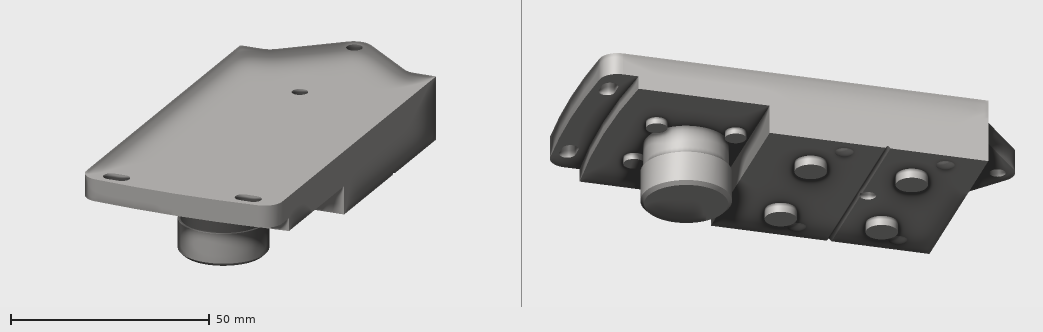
import cadquery as cq
import math


WIDTH = 54.0
LENGTH = 116.4
PLATE_THICKNESS = 5.9
CORNER_RADIUS = 4.9
FRONT_BOW_RADIUS = 244.4

TONGUE_LENGTH = 14.5
TIP_RADIUS = 5.0
TONGUE_SLOPE = math.radians(40)
SHOULDER_FILLET = 5.0

HOLE_DIAMETER = 4.2
TONGUE_HOLE_Y = 10.1
INNER_HOLE_Y = -23.9
SLOT_LENGTH = 7.1
SLOT_SPACING = 36.3
SLOT_FROM_FRONT = 4.7

SLAB_DEPTH = 9.4
SLAB_SETBACK = 8.5
BLOCK_DEPTH = 17.1
BLOCK_LENGTH = 57.4
COVER_LENGTH = 52.7
GROOVE_WIDTH = 1.4
GROOVE_DEPTH = 0.7

CONNECTOR_Y = -71.6
NECK_DIAMETER = 21.8
COLLAR_DIAMETER = 23.2
CONNECTOR_DEPTH = 26.1
COLLAR_CHAMFER = 0.9

SCREW_DIAMETER = 5.5
SCREW_HEIGHT = 1.7
SCREW_SPACING = 20.7
SCREW_CENTER_Y = -71.9

FOOT_DIAMETER = 8.1
FOOT_HEIGHT = 2.6
FOOT_SPACING_X = 27.5
FOOT_REAR_Y = -16.3
BUTTON_DIAMETER = 4.8
BUTTON_HEIGHT = 0.7
BUTTON_SPACING_X = 43.5
BUTTON_REAR_Y = -9.8
ROW_PITCH = 26.5

HALF_WIDTH = WIDTH / 2
FRONT_Y = TONGUE_LENGTH - LENGTH
BOW_CENTER_Y = FRONT_Y + FRONT_BOW_RADIUS
TIP_CENTER_Y = TONGUE_LENGTH - TIP_RADIUS
TANGENT_X = TIP_RADIUS * math.sin(TONGUE_SLOPE)
TANGENT_Y = TIP_CENTER_Y + TIP_RADIUS * math.cos(TONGUE_SLOPE)
TONGUE_FOOT_X = TANGENT_X + TANGENT_Y / math.tan(TONGUE_SLOPE)


def bowed_front_y(setback):
    """Y where the front bow, moved back by setback, meets the sides."""
    radius = FRONT_BOW_RADIUS - setback
    return BOW_CENTER_Y - math.sqrt(radius**2 - HALF_WIDTH**2)


def bowed_panel(setback, thickness):
    """Rectangular panel from Y = 0 to a bowed front, thickness down from Z = 0."""
    side_y = bowed_front_y(setback)
    return (
        cq.Workplane("XY")
        .moveTo(-HALF_WIDTH, 0)
        .lineTo(-HALF_WIDTH, side_y)
        .threePointArc((0, FRONT_Y + setback), (HALF_WIDTH, side_y))
        .lineTo(HALF_WIDTH, 0)
        .close()
        .extrude(-thickness)
    )


def tongue():
    """Triangular tongue; its slanted sides are tangent to the round tip."""
    base_y = -TIP_RADIUS
    return (
        cq.Workplane("XY")
        .moveTo(-TONGUE_FOOT_X, base_y)
        .lineTo(-TONGUE_FOOT_X, 0)
        .lineTo(-TANGENT_X, TANGENT_Y)
        .threePointArc((0, TONGUE_LENGTH), (TANGENT_X, TANGENT_Y))
        .lineTo(TONGUE_FOOT_X, 0)
        .lineTo(TONGUE_FOOT_X, base_y)
        .close()
        .extrude(-PLATE_THICKNESS)
    )


def top_plate():
    plate = bowed_panel(0, PLATE_THICKNESS).edges("|Z").edges("<Y").fillet(CORNER_RADIUS)
    plate = plate.union(tongue())
    for side in (-1, 1):
        shoulder = cq.selectors.NearestToPointSelector(
            (side * TONGUE_FOOT_X, 0, -PLATE_THICKNESS / 2)
        )
        plate = plate.edges("|Z").edges(shoulder).fillet(SHOULDER_FILLET)
    return plate


def block():
    """Deep rear block with a V groove across the middle of its cover."""
    groove_y = -COVER_LENGTH / 2
    profile = [
        (0, 0),
        (0, -BLOCK_DEPTH),
        (groove_y + GROOVE_WIDTH / 2, -BLOCK_DEPTH),
        (groove_y, -BLOCK_DEPTH + GROOVE_DEPTH),
        (groove_y - GROOVE_WIDTH / 2, -BLOCK_DEPTH),
        (-BLOCK_LENGTH, -BLOCK_DEPTH),
        (-BLOCK_LENGTH, 0),
    ]
    return cq.Workplane("YZ").polyline(profile).close().extrude(HALF_WIDTH, both=True)


def studs(points, diameter, face_depth, height):
    """Round studs standing down from a face at the given depth."""
    return (
        cq.Workplane("XY", origin=(0, 0, -face_depth))
        .pushPoints(points)
        .circle(diameter / 2)
        .extrude(-height)
    )


def domes(points, diameter, face_depth, height):
    """Shallow spherical caps bulging down from a face at the given depth."""
    base_radius = diameter / 2
    sphere_radius = (base_radius**2 + height**2) / (2 * height)
    half_angle = math.asin(base_radius / sphere_radius) / 2
    mid_x = sphere_radius * math.sin(half_angle)
    mid_z = sphere_radius * (1 - math.cos(half_angle)) - height
    dome = (
        cq.Workplane("XZ")
        .lineTo(0, -height)
        .threePointArc((mid_x, mid_z), (base_radius, 0))
        .close()
        .revolve(360, (0, 0), (0, 1))
        .val()
    )
    plane = cq.Workplane("XY", origin=(0, 0, -face_depth)).pushPoints(points)
    return plane.eachpoint(lambda place: dome.moved(place))


def mirrored_rows(spacing_x, rows_y):
    return [(side * spacing_x / 2, y) for side in (-1, 1) for y in rows_y]


def connector():
    center = [(0, CONNECTOR_Y)]
    neck = studs(center, NECK_DIAMETER, SLAB_DEPTH, BLOCK_DEPTH - SLAB_DEPTH)
    collar = studs(center, COLLAR_DIAMETER, BLOCK_DEPTH, CONNECTOR_DEPTH - BLOCK_DEPTH)
    return neck.union(collar.faces("<Z").chamfer(COLLAR_CHAMFER))


def openings():
    """Two round holes and two front slots, cut all the way through."""
    holes = studs([(0, TONGUE_HOLE_Y), (0, INNER_HOLE_Y)], HOLE_DIAMETER, 0, BLOCK_DEPTH)
    slots = (
        cq.Workplane("XY")
        .pushPoints(mirrored_rows(SLOT_SPACING, [FRONT_Y + SLOT_FROM_FRONT]))
        .slot2D(SLOT_LENGTH, HOLE_DIAMETER)
        .extrude(-PLATE_THICKNESS)
    )
    return holes.union(slots)


screw_rows = [SCREW_CENTER_Y + side * SCREW_SPACING / 2 for side in (-1, 1)]
foot_rows = [FOOT_REAR_Y, FOOT_REAR_Y - ROW_PITCH]
button_rows = [BUTTON_REAR_Y, BUTTON_REAR_Y - ROW_PITCH]

screws = studs(mirrored_rows(SCREW_SPACING, screw_rows), SCREW_DIAMETER, SLAB_DEPTH, SCREW_HEIGHT)
feet = studs(mirrored_rows(FOOT_SPACING_X, foot_rows), FOOT_DIAMETER, BLOCK_DEPTH, FOOT_HEIGHT)
buttons = domes(mirrored_rows(BUTTON_SPACING_X, button_rows), BUTTON_DIAMETER, BLOCK_DEPTH, BUTTON_HEIGHT)

result = (
    top_plate()
    .union(bowed_panel(SLAB_SETBACK, SLAB_DEPTH))
    .union(block())
    .union(connector())
    .union(screws)
    .union(feet)
    .union(buttons)
    .cut(openings())
)